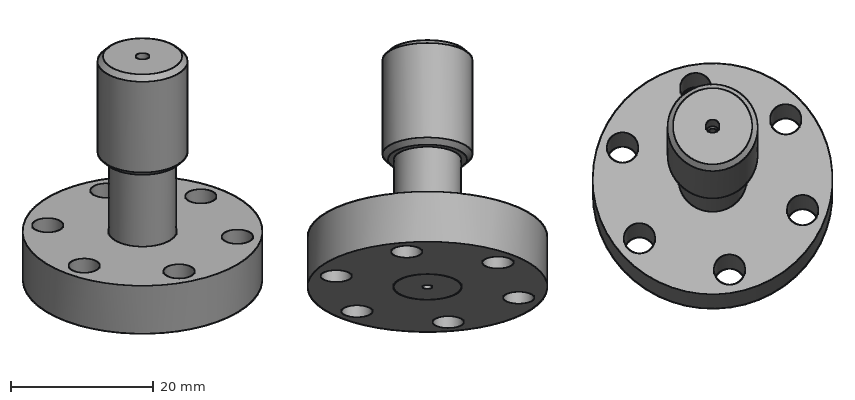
import cadquery as cq

total_height = 35.25

flange_diameter = 33.78
flange_thickness = 7.6
flange_bore_diameter = 9.65
bolt_hole_diameter = 4.4
bolt_circle_diameter = 26.95
bolt_count = 6
first_bolt_angle = 90.0

neck_diameter = 9.5
head_diameter = 12.7
head_bottom = 19.35
head_chamfer = 0.78

through_bore_diameter = 1.4
entry_bore_diameter = 1.95
entry_bore_depth = 3.53
bore_cone_height = (entry_bore_diameter - through_bore_diameter) / 2


def make_flange():
    """Disc with a clearance bore for the neck and a ring of bolt holes."""
    disc = cq.Workplane("XY").circle(flange_diameter / 2).extrude(flange_thickness)
    center_bore = cq.Workplane("XY").circle(flange_bore_diameter / 2).extrude(flange_thickness)
    bolt_holes = (
        cq.Workplane("XY")
        .polarArray(bolt_circle_diameter / 2, first_bolt_angle, 360, bolt_count)
        .circle(bolt_hole_diameter / 2)
        .extrude(flange_thickness)
    )
    return disc.cut(center_bore).cut(bolt_holes)


def make_stem():
    """Turned stem: half profile revolved about Z, open along its axis as a stepped bore."""
    neck_radius = neck_diameter / 2
    head_radius = head_diameter / 2
    head_end_radius = head_radius - head_chamfer
    through_radius = through_bore_diameter / 2
    entry_radius = entry_bore_diameter / 2
    entry_bottom = total_height - entry_bore_depth
    half_profile = [
        (through_radius, 0),
        (neck_radius, 0),
        (neck_radius, head_bottom),
        (head_end_radius, head_bottom),
        (head_radius, head_bottom + head_chamfer),
        (head_radius, total_height - head_chamfer),
        (head_end_radius, total_height),
        (entry_radius, total_height),
        (entry_radius, entry_bottom),
        (through_radius, entry_bottom - bore_cone_height),
    ]
    return cq.Workplane("XZ").polyline(half_profile).close().revolve(360, (0, 0), (0, 1))


flange = make_flange()
stem = make_stem()

result = cq.Compound.makeCompound([flange.solids().val(), stem.solids().val()])